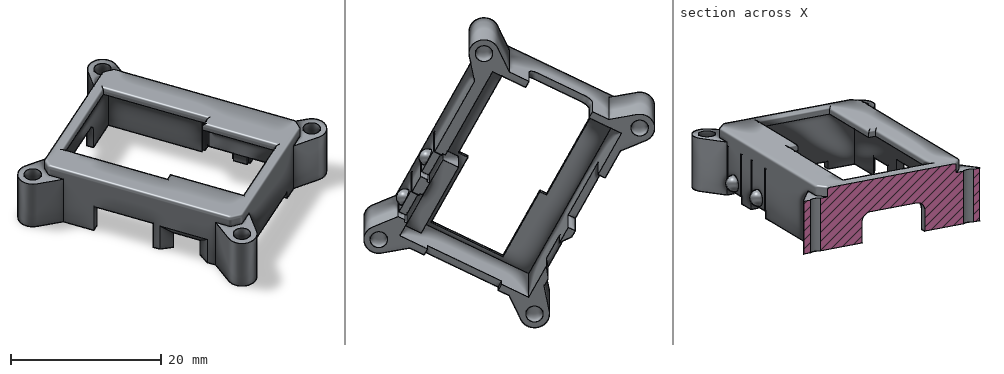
import cadquery as cq
import math

overall_length = 34.34
overall_width = 27.35
total_height = 9.0

body_length = 28.75
body_width = 21.9
plate_thickness = 1.0
edge_round = 0.5
corner_chamfer = 1.18
corner_round = 0.6

end_wall = 1.0
side_wall = 1.08
cavity_length = body_length - 2 * end_wall
cavity_width = body_width - 2 * side_wall
cavity_height = total_height - plate_thickness
outer_y = body_width / 2
inner_x = cavity_length / 2
inner_y = cavity_width / 2

ear_radius = 2.0
ear_hole_diameter = 2.3
ear_height = 7.5
ear_x = overall_length / 2 - ear_radius
ear_y = overall_width / 2 - ear_radius
ear_flare = 6.6
ear_flank = 4.5

opening_half_length = 12.79
opening_step_x = 2.17
wide_y_low, wide_y_high = -6.73, 6.48
narrow_y_low, narrow_y_high = -5.71, 5.06

cutout_center_y = -0.26
arch_width = 9.5
arch_height = 4.2
arch_radius = 1.2
notch_width = 11.1
notch_height = 1.1

window_x_low, window_x_high = -6.63, 1.97
window_height = 4.2
funnel_center_x = 6.39
funnel_outer_width = 6.87
funnel_outer_height = 4.07
funnel_taper = 1.53

button_xs = (2.49, 9.03)
button_radius = 1.15
button_z = 2.3
tongue_width = 3.4
tongue_bottom = 1.0
slit_width = 0.3
slit_top = 7.0
pad_thickness = 0.42
recess_width = 4.55

rib_x_low = 2.62
rib_y_low, rib_y_high = 6.25, 8.58
rib_bottom = 4.3


def box(x_low, x_high, y_low, y_high, z_low, z_high):
    """Axis-aligned block between the given limits."""
    return cq.Workplane("XY").box(
        x_high - x_low, y_high - y_low, z_high - z_low, centered=False
    ).translate((x_low, y_low, z_low))


def make_body():
    """Solid block with the opening through it and rounded corners and top edges."""
    body = (
        cq.Workplane("XY")
        .rect(body_length, body_width)
        .extrude(total_height)
        .edges("|Z")
        .chamfer(corner_chamfer)
        .edges("|Z")
        .fillet(corner_round)
    )
    wide = box(-opening_half_length, opening_step_x, wide_y_low, wide_y_high, 0, total_height)
    narrow = box(0, opening_half_length, narrow_y_low, narrow_y_high, 0, total_height)
    return body.cut(wide.union(narrow)).faces(">Z").edges().fillet(edge_round)


def make_ear():
    """Round ear at the +X +Y corner with two flanks running into the walls."""

    def flank(normal_angle, run_angle):
        normal = math.radians(normal_angle)
        run = math.radians(run_angle)
        start = (ear_x + ear_radius * math.cos(normal), ear_y + ear_radius * math.sin(normal))
        end = (start[0] + ear_flank * math.cos(run), start[1] + ear_flank * math.sin(run))
        return start, end

    inward = 225
    upper_start, upper_end = flank(inward - 90 - ear_flare, inward - ear_flare)
    lower_start, lower_end = flank(inward + 90 + ear_flare, inward + ear_flare)
    outward = math.radians(inward - 180)
    tip = (ear_x + ear_radius * math.cos(outward), ear_y + ear_radius * math.sin(outward))
    return (
        cq.Workplane("XY")
        .moveTo(*upper_end)
        .lineTo(*upper_start)
        .threePointArc(tip, lower_start)
        .lineTo(*lower_end)
        .close()
        .extrude(ear_height)
    )


def add_ears(body):
    """One ear on each corner, mirrored from the first."""
    ear = make_ear()
    pair = ear.union(ear.mirror("YZ"))
    return body.union(pair).union(pair.mirror("XZ"))


def drill_ears(body):
    holes = (
        cq.Workplane("XY")
        .rect(2 * ear_x, 2 * ear_y, forConstruction=True)
        .vertices()
        .circle(ear_hole_diameter / 2)
        .extrude(ear_height)
    )
    return body.cut(holes)


def hollow(body):
    """Cavity below the plate, leaving a thickened pad along the back wall."""
    cavity = box(-inner_x, inner_x, -inner_y, inner_y - pad_thickness, 0, cavity_height)
    return body.cut(cavity)


def cut_end_walls(body):
    """Rounded arch in the -X wall and shallow notch in the +X wall."""
    arch = (
        cq.Workplane("XY")
        .box(end_wall, arch_width, 2 * arch_height)
        .edges("|X")
        .fillet(arch_radius)
        .translate((-inner_x - end_wall / 2, cutout_center_y, 0))
    )
    notch = box(
        inner_x,
        inner_x + end_wall,
        cutout_center_y - notch_width / 2,
        cutout_center_y + notch_width / 2,
        0,
        notch_height,
    )
    return body.cut(arch).cut(notch)


def cut_front_wall(body):
    """Plain window and a funnel-shaped window that narrows inward."""
    window = box(window_x_low, window_x_high, -outer_y, -inner_y, 0, window_height)
    funnel = (
        cq.Workplane("XZ", origin=(funnel_center_x, -outer_y, 0))
        .rect(funnel_outer_width, 2 * funnel_outer_height)
        .workplane(offset=-side_wall)
        .rect(funnel_outer_width - 2 * funnel_taper, 2 * (funnel_outer_height - funnel_taper))
        .loft()
    )
    return body.cut(window).cut(funnel)


def cut_tongue(body, x):
    """Flexible tongue in the back wall, freed by a slit on each side and behind a gap in the pad."""
    half_recess = recess_width / 2
    half_tongue = tongue_width / 2
    half_slot = half_tongue + slit_width
    recess = box(x - half_recess, x + half_recess, inner_y - pad_thickness, inner_y, 0, cavity_height)
    slot = box(x - half_slot, x + half_slot, inner_y, outer_y, 0, slit_top)
    tongue = box(x - half_tongue, x + half_tongue, inner_y, outer_y, tongue_bottom, slit_top)
    return body.cut(recess).cut(slot.cut(tongue))


def add_button(body, x):
    """Domed button on the outside of a tongue."""
    dome = (
        cq.Workplane("XY")
        .sphere(button_radius, angle3=180)
        .translate((x, outer_y, button_z))
    )
    return body.union(dome)


def add_rib(body):
    """Rib under the plate beside the narrow part of the opening."""
    return body.union(box(rib_x_low, inner_x, rib_y_low, rib_y_high, rib_bottom, cavity_height))


result = add_ears(make_body())
result = drill_ears(hollow(result))
result = cut_end_walls(result)
result = cut_front_wall(result)
for button_x in button_xs:
    result = cut_tongue(result, button_x)
result = add_rib(result)
for button_x in button_xs:
    result = add_button(result, button_x)